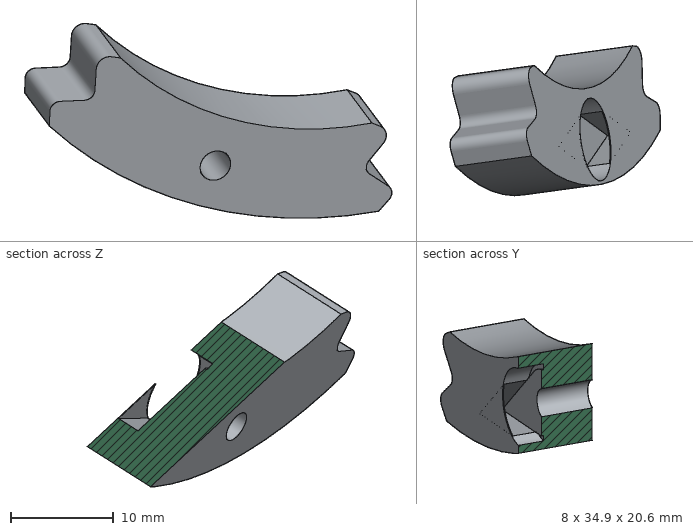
import cadquery as cq
import math

thickness = 8.0
inner_radius = 30.62
outer_radius = 40.05
bolt_circle_radius = 35.65
tilt = 22.5
bolt_diameter = 3.1
recess_diameter = 8.1
recess_depth = 2.72
undercut_start = 0.1
undercut_depth = 2.5
undercut_width = 6.95
undercut_angle = 40.0
undercut_corner_radius = 3.15

inner_corner = (13.85, 8.25)
inner_lobe_tip = (16.35, 7.95)
notch_root = (14.77, 3.42)
outer_lobe_tip = (19.1, 2.1)
outer_corner = (18.15, -0.35)
inner_lobe_radius = 1.22
notch_radius = 0.98
outer_lobe_radius = 0.98


def mirrored(point):
    return (-point[0], point[1])


def round_ends(body, corner, radius):
    """Round the edges through the thickness at a profile corner, on both ends."""
    for x, y in (corner, mirrored(corner)):
        edge = cq.selectors.NearestToPointSelector((x, y, -thickness / 2))
        body = body.edges("|Z").edges(edge).fillet(radius)
    return body


def segment_body():
    """Arc segment with a rounded notch in each end, symmetric about local Y."""
    inner_mid = (0, bolt_circle_radius - inner_radius)
    outer_mid = (0, bolt_circle_radius - outer_radius)
    body = (
        cq.Workplane("XY")
        .moveTo(*mirrored(inner_corner))
        .threePointArc(inner_mid, inner_corner)
        .lineTo(*inner_lobe_tip)
        .lineTo(*notch_root)
        .lineTo(*outer_lobe_tip)
        .lineTo(*outer_corner)
        .threePointArc(outer_mid, mirrored(outer_corner))
        .lineTo(*mirrored(outer_lobe_tip))
        .lineTo(*mirrored(notch_root))
        .lineTo(*mirrored(inner_lobe_tip))
        .close()
        .extrude(-thickness)
    )
    body = round_ends(body, inner_lobe_tip, inner_lobe_radius)
    body = round_ends(body, notch_root, notch_radius)
    return round_ends(body, outer_lobe_tip, outer_lobe_radius)


def rhombus(start_depth, end_depth):
    """Rhombic prism along the segment, with its two blunt corners rounded."""
    half_angle = math.radians(undercut_angle / 2)
    half_length = undercut_width / 2 / math.sin(half_angle)
    half_height = undercut_width / 2 / math.cos(half_angle)
    return (
        cq.Workplane("XY", origin=(0, 0, -start_depth))
        .polyline([(-half_length, 0), (0, half_height), (half_length, 0), (0, -half_height)])
        .close()
        .extrude(start_depth - end_depth)
        .edges("|Z")
        .edges(">Y or <Y")
        .fillet(undercut_corner_radius)
    )


def round_cut(diameter, depth):
    return cq.Workplane("XY").circle(diameter / 2).extrude(-depth)


undercut = rhombus(undercut_start, undercut_depth)
pad = rhombus(undercut_depth, recess_depth)
recess = round_cut(recess_diameter, recess_depth).cut(pad)

flat_part = (
    segment_body()
    .cut(undercut)
    .cut(recess)
    .cut(round_cut(bolt_diameter, thickness))
)

standing_plane = cq.Plane(origin=(0, 0, 0), xDir=(0, -1, 0), normal=(-1, 0, 0))
tilted_part = flat_part.rotate((0, 0, 0), (0, 0, 1), tilt)
result = cq.Workplane(tilted_part.val().moved(cq.Location(standing_plane)))